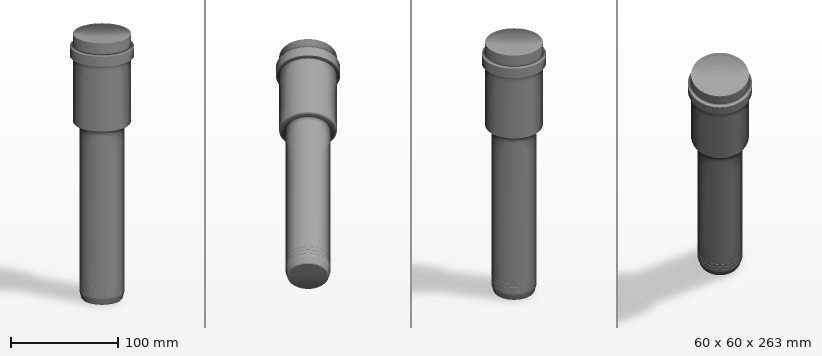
import cadquery as cq

total_height = 263.0
cap_height = 12.0
flange_height = 10.0
sleeve_height = 66.5

flange_diameter = 60.0
sleeve_diameter = 54.0
rod_diameter = 42.0
tip_diameter = 38.7

edge_chamfer = 1.0
tip_height = 7.0
tip_edge_chamfer = 0.8

groove_count = 3
groove_width = 1.0
groove_depth = 0.3
groove_pitch = 4.0
lowest_groove_height = 10.0

flange_top = total_height - cap_height
flange_bottom = flange_top - flange_height
sleeve_bottom = flange_bottom - sleeve_height


def cylinder(diameter, bottom, top):
    """Solid cylinder on the Z axis between two heights."""
    return cq.Workplane("XY").workplane(offset=bottom).circle(diameter / 2).extrude(top - bottom)


def make_rod():
    """Long rod with a tapered lower tip whose end edge is broken."""
    rod_radius = rod_diameter / 2
    tip_radius = tip_diameter / 2
    half_profile = [
        (0, 0),
        (tip_radius - tip_edge_chamfer, 0),
        (tip_radius, tip_edge_chamfer),
        (rod_radius, tip_height),
        (rod_radius, sleeve_bottom),
        (0, sleeve_bottom),
    ]
    return cq.Workplane("XZ").polyline(half_profile).close().revolve(360, (0, 0), (0, 1))


def make_groove(bottom):
    """Ring to remove from the rod surface."""
    top = bottom + groove_width
    core = cylinder(rod_diameter - 2 * groove_depth, bottom, top)
    return cylinder(rod_diameter, bottom, top).cut(core)


cap = cylinder(sleeve_diameter, flange_top, total_height).faces("<Z").chamfer(edge_chamfer)
flange = cylinder(flange_diameter, flange_bottom, flange_top)
sleeve = cylinder(sleeve_diameter, sleeve_bottom, flange_bottom).faces("<Z or >Z").chamfer(edge_chamfer)

result = make_rod().union(sleeve).union(flange).union(cap)

for index in range(groove_count):
    result = result.cut(make_groove(lowest_groove_height + index * groove_pitch))